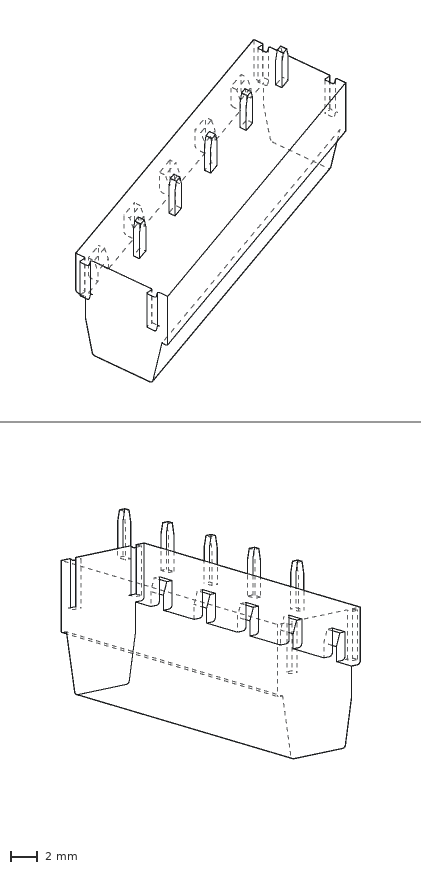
import cadquery as cq

poles = 5
overall_length = 25.6
overall_height = 14.3
rail_depth = 0.6
housing_length = overall_length - rail_depth
pitch = housing_length / poles
housing_width = 8.1
housing_height = 10.6

left_step_drop = 4.4
left_step_inset = 0.85
left_taper_drop = 6.75
left_bottom_inset = 1.48
right_step_drop = 5.58
right_step_inset = 0.5
right_bottom_inset = 1.35
left_step_radius = 0.3
right_step_radius = 0.15
bottom_radius = 0.3

dovetail_height = 3.8
dovetail_inset = 1.1
dovetail_neck_width = 0.5
dovetail_tip_width = 0.87
dovetail_edge_radius = 0.1

notch_width = 1.45
notch_top_drop = 2.25
notch_slope_drop = 1.0
notch_slope_run = 0.33

pin_thickness = 0.55
pin_width = 0.9
pin_tip_width = 0.49
pin_tip_length = 0.92
pin_length = overall_height - housing_height

pole_positions = [-(i + 0.5) * pitch for i in range(poles)]
dovetail_positions = [dovetail_inset, housing_width - dovetail_inset]


def make_housing():
    """Stepped and tapered cross-section extruded along the row of poles."""
    outline = [
        (0, 0),
        (housing_width, 0),
        (housing_width, -right_step_drop),
        (housing_width - right_step_inset, -right_step_drop),
        (housing_width - right_bottom_inset, -housing_height),
        (left_bottom_inset, -housing_height),
        (left_step_inset, -left_taper_drop),
        (left_step_inset, -left_step_drop),
        (0, -left_step_drop),
    ]
    body = cq.Workplane("XZ").polyline(outline).close().extrude(housing_length)
    middle_y = -housing_length / 2

    def round_edge(solid, x, z, radius):
        edge = cq.selectors.NearestToPointSelector((x, middle_y, z))
        return solid.edges(edge).fillet(radius)

    body = round_edge(body, 0, -left_step_drop, left_step_radius)
    body = round_edge(body, housing_width, -right_step_drop, right_step_radius)
    body = round_edge(body, left_bottom_inset, -housing_height, bottom_radius)
    return round_edge(body, housing_width - right_bottom_inset, -housing_height, bottom_radius)


def make_dovetail(x, root_y):
    """Vertical dovetail bar, flared at its root and widening toward -Y to rounded tip edges."""
    half_neck = dovetail_neck_width / 2
    half_tip = dovetail_tip_width / 2
    half_root = half_neck + dovetail_edge_radius
    neck_y = root_y - dovetail_edge_radius
    tip_y = root_y - rail_depth
    profile = (
        cq.Workplane("XY")
        .moveTo(x + half_root, root_y)
        .radiusArc((x + half_neck, neck_y), -dovetail_edge_radius)
        .lineTo(x + half_tip, tip_y)
        .lineTo(x - half_tip, tip_y)
        .lineTo(x - half_neck, neck_y)
        .radiusArc((x - half_root, root_y), -dovetail_edge_radius)
        .close()
    )
    bar = profile.extrude(-dovetail_height)
    return bar.faces("<Y").edges("|Z").fillet(dovetail_edge_radius)


def make_notch(y):
    """Wall notch open below, with a flat roof that slopes down to the lower wall face."""
    outline = [
        (0, -notch_top_drop),
        (left_step_inset - notch_slope_run, -notch_top_drop),
        (left_step_inset, -notch_top_drop - notch_slope_drop),
        (left_step_inset, -left_step_drop),
        (0, -left_step_drop),
    ]
    profile = cq.Workplane("XZ", origin=(0, y, 0)).polyline(outline).close()
    return profile.extrude(notch_width / 2, both=True)


def make_pin(y):
    """Flat pin standing on the top face, with a truncated pointed tip."""
    shoulder_z = pin_length - pin_tip_length
    outline = [
        (y - pin_width / 2, 0),
        (y + pin_width / 2, 0),
        (y + pin_width / 2, shoulder_z),
        (y + pin_tip_width / 2, pin_length),
        (y - pin_tip_width / 2, pin_length),
        (y - pin_width / 2, shoulder_z),
    ]
    profile = cq.Workplane("YZ", origin=(housing_width / 2, 0, 0)).polyline(outline).close()
    return profile.extrude(pin_thickness / 2, both=True)


result = make_housing()

for dovetail_x in dovetail_positions:
    result = result.cut(make_dovetail(dovetail_x, 0))
    result = result.union(make_dovetail(dovetail_x, -housing_length))

for pole_y in pole_positions:
    result = result.cut(make_notch(pole_y))
    result = result.union(make_pin(pole_y))